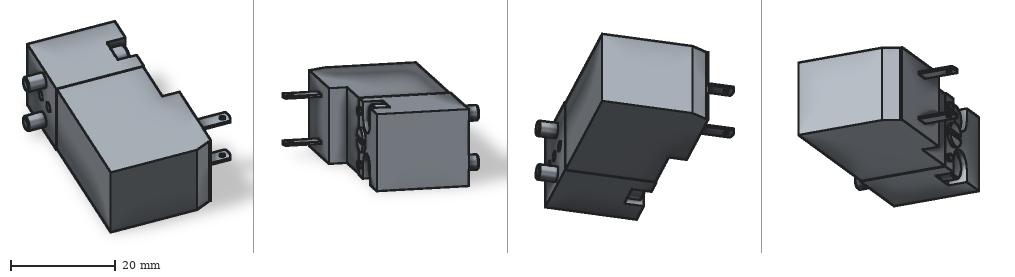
import cadquery as cq


block_length = 14.65
block_depth = 18.2
block_height = 15.2

total_length = 41.85
housing_inset = 0.13
housing_step_x = 24.3
housing_back_y = 21.65
bevel_start_x = 40.35
bevel_drop = 0.45

screw_x = 8.2
screw_z = 4.85
shank_diameter = 3.0
shank_tip_diameter = 2.45
shank_protrusion = 3.75
pocket_diameter = 5.65
pocket_floor_y = 14.3
head_diameter = 5.5
head_height = 2.95
head_chamfer = 0.35

port_diameter = 2.0
port_depth = 2.5
port_pitch = 3.85
middle_port_x = 6.8

override_diameter = 4.8
override_height = 0.6
override_x = 11.35
override_slot_width = 0.88
override_slot_depth = 0.3
button_diameter = 1.5
button_height = 0.45
button_x = 13.2
button_z = 5.3

blade_x = 31.8
blade_z = 4.65
blade_width = 2.8
blade_thickness = 0.45
blade_tip_y = 28.9
blade_shoulder_y = 28.6
blade_hole_diameter = 1.0
blade_hole_y = 27.45


def cylinder_along_y(x, z, start_y, end_y, diameter):
    """Solid cylinder between two Y positions."""
    return cq.Workplane("XY").add(
        cq.Solid.makeCylinder(diameter / 2, end_y - start_y, cq.Vector(x, start_y, z), cq.Vector(0, 1, 0))
    )


def make_block():
    return cq.Workplane("XY").box(block_length, block_depth, block_height, centered=(False, False, True))


def make_housing():
    front_y = housing_inset
    shoulder_y = block_depth - housing_inset
    half_height = block_height / 2 - housing_inset
    return (
        cq.Workplane("XY")
        .moveTo(block_length, front_y)
        .lineTo(total_length, front_y)
        .lineTo(total_length, shoulder_y)
        .lineTo(bevel_start_x, housing_back_y - bevel_drop)
        .lineTo(bevel_start_x, housing_back_y)
        .lineTo(housing_step_x, housing_back_y)
        .lineTo(housing_step_x, shoulder_y)
        .lineTo(block_length, shoulder_y)
        .close()
        .extrude(half_height, both=True)
    )


def make_pocket(side):
    """U-shaped screw pocket; side is +1 or -1 along Z."""
    depth = block_depth - pocket_floor_y
    bore = cylinder_along_y(screw_x, side * screw_z, pocket_floor_y, block_depth, pocket_diameter)
    opening_height = block_height / 2 - screw_z
    opening = (
        cq.Workplane("XY")
        .box(pocket_diameter, depth, opening_height)
        .translate((screw_x, pocket_floor_y + depth / 2, side * (screw_z + opening_height / 2)))
    )
    return bore.union(opening)


def make_screw(side):
    tip_chamfer = (shank_diameter - shank_tip_diameter) / 2
    head = cylinder_along_y(
        screw_x, side * screw_z, pocket_floor_y, pocket_floor_y + head_height, head_diameter
    )
    head = head.faces(">Y").chamfer(head_chamfer)
    shank = cylinder_along_y(screw_x, side * screw_z, -shank_protrusion, pocket_floor_y, shank_diameter)
    return head.union(shank.faces("<Y").chamfer(tip_chamfer))


def make_override():
    top_y = block_depth + override_height
    disc = cylinder_along_y(override_x, 0, block_depth, top_y, override_diameter)
    slot = (
        cq.Workplane("XY")
        .box(override_diameter, override_slot_depth, override_slot_width)
        .translate((override_x, top_y - override_slot_depth / 2, 0))
    )
    return disc.cut(slot)


def make_blade(side):
    half_width = blade_width / 2
    root_y = housing_back_y
    blade = (
        cq.Workplane("XY")
        .moveTo(blade_x - half_width, root_y)
        .lineTo(blade_x + half_width, root_y)
        .lineTo(blade_x + half_width, blade_shoulder_y)
        .threePointArc((blade_x, blade_tip_y), (blade_x - half_width, blade_shoulder_y))
        .close()
        .extrude(blade_thickness / 2, both=True)
    )
    hole = (
        cq.Workplane("XY")
        .center(blade_x, blade_hole_y)
        .circle(blade_hole_diameter / 2)
        .extrude(blade_thickness, both=True)
    )
    return blade.cut(hole).translate((0, 0, side * blade_z))


result = make_block().union(make_housing())

for port_index in (-1, 0, 1):
    port_x = middle_port_x + port_index * port_pitch
    result = result.cut(cylinder_along_y(port_x, 0, 0, port_depth, port_diameter))

result = result.union(make_override())

for side in (-1, 1):
    button_top_y = block_depth + button_height
    button = cylinder_along_y(button_x, side * button_z, block_depth, button_top_y, button_diameter)
    result = result.cut(make_pocket(side)).union(make_screw(side))
    result = result.union(button).union(make_blade(side))